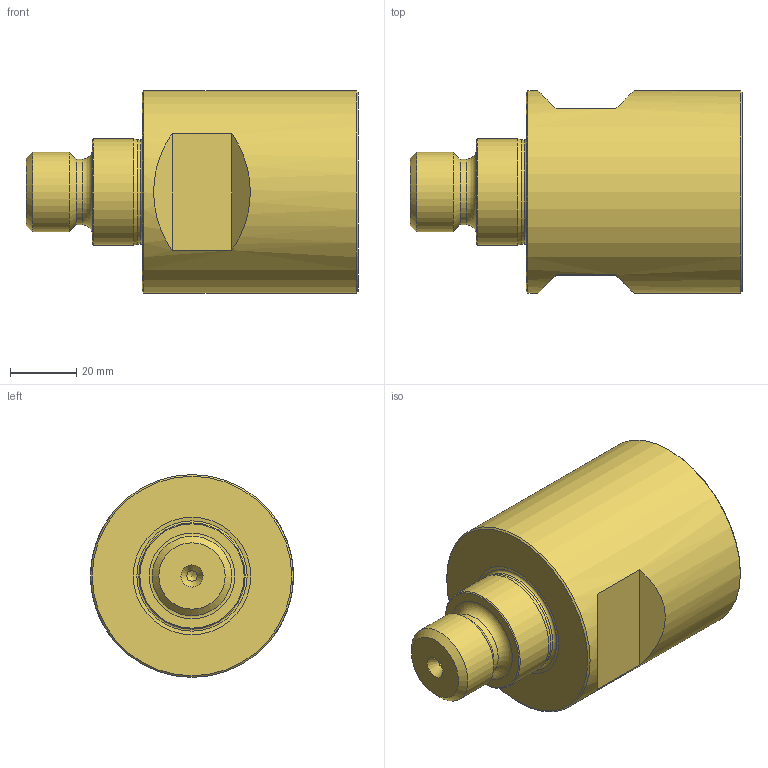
import cadquery as cq
import math

total_length = 100.0
stud_chamfer = 2.0
stud_end = 13.0
collar_start = 20.0
body_start = 35.0

stud_diameter = 24.0
neck_diameter = 19.8
collar_diameter = 32.0
relief_diameter = 31.4
relief_rim_diameter = 35.4
body_diameter = 61.1

neck_fillet = 3.0
collar_chamfer = 0.3
body_chamfer = 0.5
relief_width = 2.5
relief_ramp_angle = 15.0
relief_fillet = 0.8
relief_face_angle = 8.0

flat_width = 50.0
flat_start = 44.0
flat_length = 18.0
cutter_clearance = 1.0

center_mouth_diameter = 6.7
center_pilot_diameter = 3.15
center_cone_angle = 60.0
center_depth = 7.0
drill_point_angle = 118.0


def turned_blank():
    """Revolve the stepped outline, given as (axial position, radius), about X."""
    stud_r = stud_diameter / 2
    neck_r = neck_diameter / 2
    collar_r = collar_diameter / 2
    relief_r = relief_diameter / 2
    rim_r = relief_rim_diameter / 2
    body_r = body_diameter / 2

    neck_start = stud_end + stud_r - neck_r
    diagonal = math.sqrt(0.5)
    neck_arc_mid = (
        collar_start - neck_fillet * (1 - diagonal),
        neck_r + neck_fillet * (1 - diagonal),
    )

    relief_start = body_start - relief_width
    ramp_length = (collar_r - relief_r) / math.tan(math.radians(relief_ramp_angle))
    slope = math.radians(relief_face_angle)
    arc_center_r = relief_r + relief_fillet
    arc_end_r = arc_center_r + relief_fillet * math.sin(slope)
    arc_end_x = body_start + (rim_r - arc_end_r) * math.tan(slope)
    arc_center_x = arc_end_x - relief_fillet * math.cos(slope)
    relief_arc_mid = (
        arc_center_x + relief_fillet * diagonal,
        arc_center_r - relief_fillet * diagonal,
    )

    outline = (
        cq.Workplane("XY")
        .moveTo(0, 0)
        .lineTo(0, stud_r - stud_chamfer)
        .lineTo(stud_chamfer, stud_r)
        .lineTo(stud_end, stud_r)
        .lineTo(neck_start, neck_r)
        .lineTo(collar_start - neck_fillet, neck_r)
        .threePointArc(neck_arc_mid, (collar_start, neck_r + neck_fillet))
        .lineTo(collar_start, collar_r - collar_chamfer)
        .lineTo(collar_start + collar_chamfer, collar_r)
        .lineTo(relief_start, collar_r)
        .lineTo(relief_start + ramp_length, relief_r)
        .lineTo(arc_center_x, relief_r)
        .threePointArc(relief_arc_mid, (arc_end_x, arc_end_r))
        .lineTo(body_start, rim_r)
        .lineTo(body_start, body_r - body_chamfer)
        .lineTo(body_start + body_chamfer, body_r)
        .lineTo(total_length - body_chamfer, body_r)
        .lineTo(total_length, body_r - body_chamfer)
        .lineTo(total_length, 0)
        .close()
    )
    return outline.revolve(360, (0, 0, 0), (1, 0, 0))


def wrench_flat_cutter(side):
    """Prism with 45 degree end walls that cuts one flat; side is +1 or -1 along Y."""
    flat_y = flat_width / 2
    outer_y = body_diameter / 2 + cutter_clearance
    flare = outer_y - flat_y
    flat_end = flat_start + flat_length
    return (
        cq.Workplane("XY")
        .moveTo(flat_start, side * flat_y)
        .lineTo(flat_end, side * flat_y)
        .lineTo(flat_end + flare, side * outer_y)
        .lineTo(flat_start - flare, side * outer_y)
        .close()
        .extrude(body_diameter / 2, both=True)
    )


def center_hole_cutter():
    """Countersunk pilot hole with a drill point, on the axis of the stud."""
    mouth_r = center_mouth_diameter / 2
    pilot_r = center_pilot_diameter / 2
    cone_depth = (mouth_r - pilot_r) / math.tan(math.radians(center_cone_angle / 2))
    point_depth = pilot_r / math.tan(math.radians(drill_point_angle / 2))
    return (
        cq.Workplane("XY")
        .moveTo(0, 0)
        .lineTo(0, mouth_r)
        .lineTo(cone_depth, pilot_r)
        .lineTo(center_depth, pilot_r)
        .lineTo(center_depth + point_depth, 0)
        .close()
        .revolve(360, (0, 0, 0), (1, 0, 0))
    )


result = turned_blank()
for flat_side in (1, -1):
    result = result.cut(wrench_flat_cutter(flat_side))
result = result.cut(center_hole_cutter())